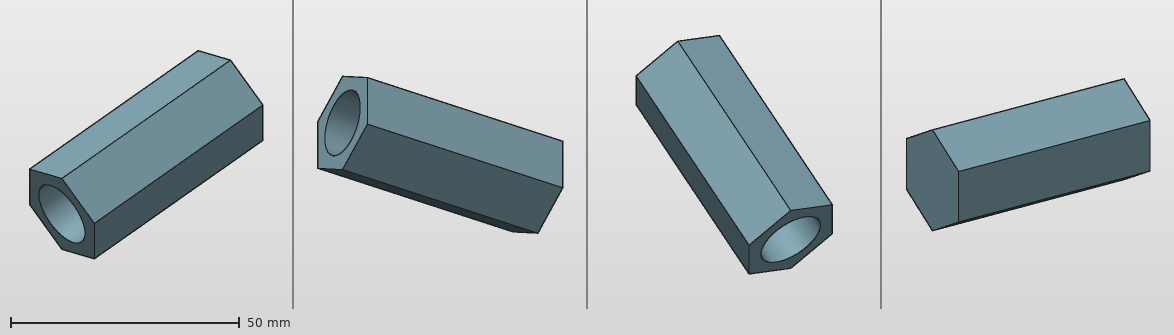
import cadquery as cq
import math

length = 50.0
across_flats = 21.0
bore_diameter = 14.95
bore_depth = 25.0

across_corners = across_flats / math.cos(math.radians(30))

front_end = cq.Workplane("XZ", origin=(0, -length / 2, 0))
hexagon = front_end.transformed(rotate=(0, 0, 90)).polygon(6, across_corners)
body = hexagon.extrude(-length)
bore = front_end.circle(bore_diameter / 2).extrude(-bore_depth)

result = body.cut(bore)